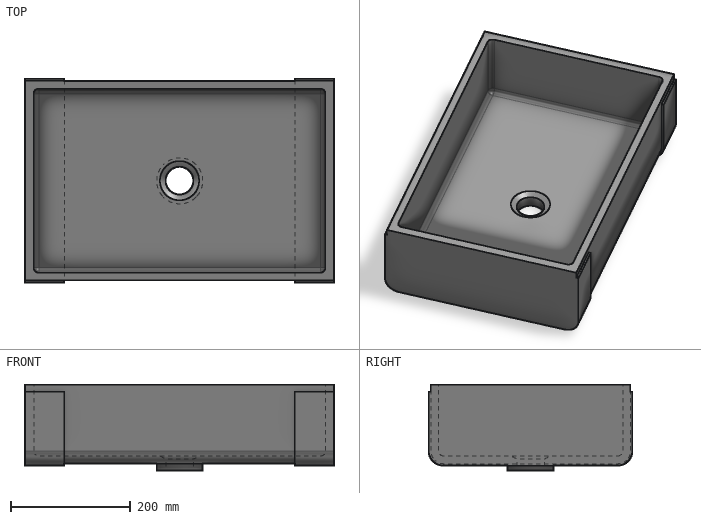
import cadquery as cq

length = 518.0
overall_width = 342.0
overall_height = 144.0

strap_thickness = 3.5
strap_length = 66.0
strap_top_drop = 11.5
strap_bottom_depth = 135.5
strap_radius = 25.0

basin_width = overall_width - 2 * strap_thickness
basin_depth = strap_bottom_depth - strap_thickness
basin_radius = strap_radius - strap_thickness
end_wall = 14.5
side_wall = 13.0
floor_thickness = 13.0
bowl_radius = 9.0

spud_diameter = 77.0
drain_diameter = 46.0
drain_mouth_diameter = 66.0
drain_mouth_depth = 5.0

strap_top = -strap_top_drop
floor_level = floor_thickness - basin_depth


def trough_block(start_x, block_length, width, top, bottom, radius):
    """Block running along X with its two long bottom edges rounded."""
    height = top - bottom
    return (
        cq.Workplane("XY")
        .box(block_length, width, height, centered=(False, True, False))
        .translate((start_x, 0, bottom))
        .edges("|X and <Z")
        .fillet(radius)
    )


def bowl():
    """Inner volume with rounded upright corners and a rounded floor edge."""
    return (
        cq.Workplane("XY")
        .workplane(offset=floor_level)
        .rect(length - 2 * end_wall, basin_width - 2 * side_wall)
        .extrude(-floor_level)
        .edges("|Z or <Z")
        .fillet(bowl_radius)
    )


def drain_spud():
    """Round outlet reaching from the floor to the lowest point of the part."""
    return (
        cq.Workplane("XY")
        .workplane(offset=-overall_height)
        .circle(spud_diameter / 2)
        .extrude(overall_height + floor_level)
    )


def drain_hole():
    """Through hole with a conical mouth at the bowl floor."""
    mouth_radius = drain_mouth_diameter / 2
    hole_radius = drain_diameter / 2
    profile = [
        (0, floor_level),
        (mouth_radius, floor_level),
        (hole_radius, floor_level - drain_mouth_depth),
        (hole_radius, -overall_height),
        (0, -overall_height),
    ]
    return cq.Workplane("XZ").polyline(profile).close().revolve(360, (0, 0), (0, 1))


body = trough_block(-length / 2, length, basin_width, 0, -basin_depth, basin_radius)
for strap_start in (-length / 2, length / 2 - strap_length):
    strap = trough_block(
        strap_start, strap_length, overall_width, strap_top, -strap_bottom_depth, strap_radius
    )
    body = body.union(strap)

result = body.union(drain_spud()).cut(bowl()).cut(drain_hole())